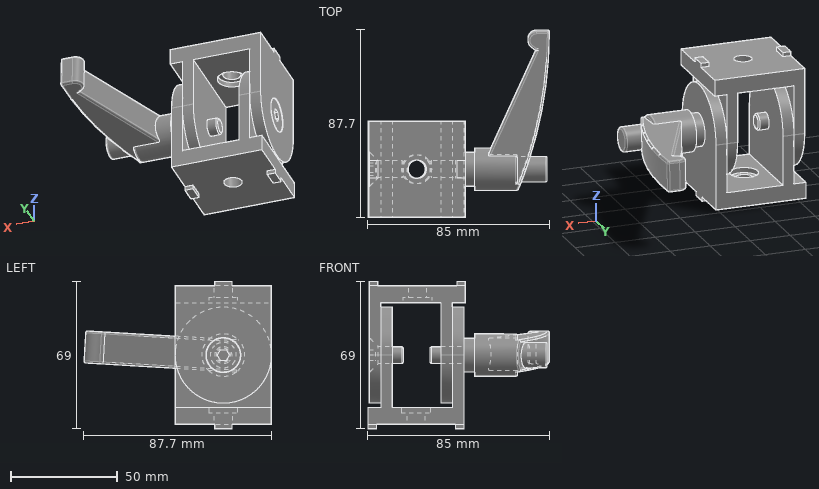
import cadquery as cq
import math


yoke_width = 45.0
arm_radius = yoke_width / 2
arm_thickness = 5.4
second_arm_start = 33.5
plate_outer_height = 32.5
plate_thickness = 8.0
plate_inner_height = plate_outer_height - plate_thickness
plate_hole_diameter = 8.5
plate_counterbore_diameter = 13.5
plate_counterbore_depth = 2.55
tab_length = 4.0
tab_width = 8.2
tab_height = 2.0
hinge_outer_face = second_arm_start + 2 * arm_thickness

thread_diameter = 8.0
thread_end_chamfer = 0.7
thread_protrusion = 5.2
screw_head_diameter = 16.0
countersink_diameter = 16.4
socket_across_flats = 5.0
socket_depth = 2.6
collar_diameter = 16.0
collar_length = 4.9

hub_start = hinge_outer_face + collar_length
hub_end = 69.4
hub_diameter = 20.0
lever_tilt = 3.4
lever_half_thickness = 7.55
lever_reach_x = 84.35
lever_tip_y = 64.95
edge_round = 1.0
outer_curve_radius = 194.85
outer_curve_center = (lever_reach_x - outer_curve_radius, 64.6)
nub_radius = 4.1
nub_center = (78.4, lever_tip_y - nub_radius)
crotch = (78.0, 55.9)
inner_edge_angle = 24.6

button_diameter = 12.0
button_end = 83.3
button_edge_round = 0.9


def x_cylinder(diameter, start, end):
    """Cylinder on the pivot axis between two X positions."""
    return cq.Workplane("YZ").workplane(offset=start).circle(diameter / 2).extrude(end - start)


def x_cone(start_diameter, start, end_diameter, end):
    """Cone frustum on the pivot axis between two X positions."""
    outline = [(start, 0), (start, start_diameter / 2), (end, end_diameter / 2), (end, 0)]
    return cq.Workplane("XY").polyline(outline).close().revolve(360, (0, 0, 0), (1, 0, 0))


def make_yoke():
    """Yoke with its plate on top, round-ended arms, locating tabs and a screw hole sunk from inside."""
    yoke = cq.Workplane("XY").box(yoke_width, yoke_width, plate_thickness, centered=(False, True, False))
    yoke = yoke.translate((0, 0, plate_inner_height))
    for arm_start in (0, second_arm_start):
        arm = (
            cq.Workplane("YZ")
            .workplane(offset=arm_start)
            .moveTo(-arm_radius, plate_inner_height)
            .lineTo(-arm_radius, 0)
            .threePointArc((0, -arm_radius), (arm_radius, 0))
            .lineTo(arm_radius, plate_inner_height)
            .close()
            .extrude(arm_thickness)
        )
        yoke = yoke.union(arm)
    for tab_start in (0, yoke_width - tab_length):
        tab = cq.Workplane("XY").box(tab_length, tab_width, tab_height, centered=(False, True, False))
        yoke = yoke.union(tab.translate((tab_start, 0, plate_outer_height)))
    plate_center = cq.Workplane("XY").workplane(offset=plate_inner_height).center(yoke_width / 2, 0)
    plate_hole = plate_center.circle(plate_hole_diameter / 2).extrude(plate_thickness)
    counterbore = plate_center.circle(plate_counterbore_diameter / 2).extrude(plate_counterbore_depth)
    return yoke.cut(plate_hole).cut(counterbore).cut(x_cylinder(thread_diameter, 0, yoke_width))


def make_upper_yoke():
    """Upper yoke, countersunk in its outer arm for the pivot screw."""
    countersink_depth = (countersink_diameter - thread_diameter) / 2
    return make_yoke().cut(x_cone(countersink_diameter, 0, thread_diameter, countersink_depth))


def make_lower_yoke():
    """Lower yoke: the same part turned upside down, its arms beside the upper ones."""
    turned = make_yoke().rotate((0, 0, 0), (0, 1, 0), 180)
    return turned.translate((hinge_outer_face, 0, 0))


def make_pivot_screw():
    """Countersunk screw with a hexagon socket, seated slightly below the yoke face."""
    head_face = (countersink_diameter - screw_head_diameter) / 2
    head_end = head_face + (screw_head_diameter - thread_diameter) / 2
    shank_end = 2 * arm_thickness + thread_protrusion
    shank = x_cylinder(thread_diameter, head_end, shank_end).faces(">X").chamfer(thread_end_chamfer)
    socket = (
        cq.Workplane("YZ")
        .workplane(offset=head_face)
        .polygon(6, socket_across_flats / math.cos(math.pi / 6))
        .extrude(socket_depth)
    )
    return x_cone(screw_head_diameter, head_face, thread_diameter, head_end).union(shank).cut(socket)


def make_clamp_stud():
    """Threaded stud through both right-hand arms, with a collar under the lever hub."""
    shank = x_cylinder(thread_diameter, second_arm_start - thread_protrusion, hinge_outer_face)
    shank = shank.faces("<X").chamfer(thread_end_chamfer)
    return shank.union(x_cylinder(collar_diameter, hinge_outer_face, hub_start))


def outer_curve_x(y):
    """X of the lever's long outer curve at a given Y."""
    return outer_curve_center[0] + math.sqrt(outer_curve_radius**2 - (y - outer_curve_center[1]) ** 2)


def make_lever_arm():
    """Flat lever arm from the pivot axis up to the rounded nub at its tip."""
    to_crotch = (crotch[0] - nub_center[0], crotch[1] - nub_center[1])
    tangent_angle = math.atan2(to_crotch[1], to_crotch[0]) - math.acos(nub_radius / math.hypot(*to_crotch))
    nub_tangent = (
        nub_center[0] + nub_radius * math.cos(tangent_angle),
        nub_center[1] + nub_radius * math.sin(tangent_angle),
    )
    inner_edge_foot_x = crotch[0] - crotch[1] * math.tan(math.radians(inner_edge_angle))
    arc_middle_y = lever_tip_y / 2
    return (
        cq.Workplane("XY")
        .workplane(offset=-lever_half_thickness)
        .moveTo(inner_edge_foot_x, 0)
        .lineTo(outer_curve_x(0), 0)
        .threePointArc((outer_curve_x(arc_middle_y), arc_middle_y), (outer_curve_x(lever_tip_y), lever_tip_y))
        .lineTo(nub_center[0], lever_tip_y)
        .threePointArc((nub_center[0] - nub_radius, nub_center[1]), nub_tangent)
        .lineTo(*crotch)
        .close()
        .extrude(2 * lever_half_thickness)
    )


def make_hub_neck():
    """Hub continued beyond its end, flattened to the arm and ended by the outer curve."""
    slab = (
        cq.Workplane("XY")
        .workplane(offset=-lever_half_thickness)
        .center(*outer_curve_center)
        .circle(outer_curve_radius)
        .extrude(2 * lever_half_thickness)
    )
    return x_cylinder(hub_diameter, hub_end - edge_round, lever_reach_x).intersect(slab)


def make_lever():
    """Clamping lever: hub, neck and arm, with a blind hole for the push button."""
    grip = make_lever_arm().union(make_hub_neck())
    above_hub = cq.selectors.BoxSelector(
        (0, hub_diameter / 2, -hub_diameter),
        (2 * lever_reach_x, 2 * lever_tip_y, hub_diameter),
    )
    side_rims = grip.faces("|Z").edges(above_hub)
    neck_end = grip.edges("%BSPLINE")
    tip_corner = grip.edges("|Z").edges(">X")
    grip = side_rims.add(tip_corner).add(neck_end).fillet(edge_round)
    hub = x_cylinder(hub_diameter, hub_start, hub_end).faces(">X").edges().fillet(edge_round)
    lever = grip.union(hub).rotate((0, 0, 0), (1, 0, 0), lever_tilt)
    return lever.cut(x_cylinder(button_diameter, hub_end, lever_reach_x))


def make_push_button():
    """Round button seated in the lever hub."""
    return x_cylinder(button_diameter, hub_end, button_end).faces(">X").edges().fillet(button_edge_round)


upper_yoke = make_upper_yoke()
lower_yoke = make_lower_yoke()
pivot_screw = make_pivot_screw()
clamp_stud = make_clamp_stud()
lever = make_lever()
push_button = make_push_button()

result = cq.Compound.makeCompound(
    [
        upper_yoke.val(),
        lower_yoke.val(),
        pivot_screw.val(),
        clamp_stud.val(),
        lever.val(),
        push_button.val(),
    ]
)